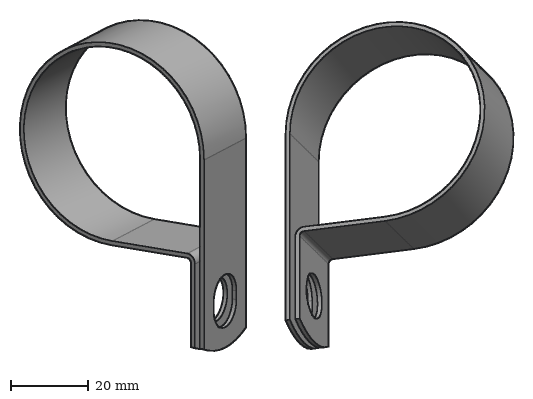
import cadquery as cq
import math

strip_width = 22.225
strip_thickness = 1.21
loop_outer_radius = 27.405
loop_inner_radius = loop_outer_radius - strip_thickness
leg_end_drop = 53.975
leg_gap = 1.5
bend_inner_radius = strip_thickness
bend_outer_radius = bend_inner_radius + strip_thickness
end_arc_radius = 25.4
hole_diameter = 11.9
slot_length = 14.3
hole_to_leg_tip = 12.7

inner_leg_right = loop_inner_radius - leg_gap
inner_leg_left = inner_leg_right - strip_thickness
bend_center_x = inner_leg_left - bend_inner_radius
bend_center_z = -loop_outer_radius - bend_inner_radius


def point_on_bend(radius):
    """Midpoint of the quarter-round bend at the given radius."""
    offset = radius * math.sqrt(0.5)
    return bend_center_x + offset, bend_center_z + offset


def make_strip():
    """Strip bent into the loop and both legs, with square leg ends."""
    return (
        cq.Workplane("XZ")
        .moveTo(loop_outer_radius, -leg_end_drop)
        .lineTo(loop_outer_radius, 0)
        .threePointArc((0, loop_outer_radius), (-loop_outer_radius, 0))
        .radiusArc((0, -loop_outer_radius), -loop_outer_radius)
        .lineTo(bend_center_x, -loop_outer_radius)
        .threePointArc(point_on_bend(bend_inner_radius), (inner_leg_left, bend_center_z))
        .lineTo(inner_leg_left, -leg_end_drop)
        .lineTo(inner_leg_right, -leg_end_drop)
        .lineTo(inner_leg_right, bend_center_z)
        .threePointArc(point_on_bend(bend_outer_radius), (bend_center_x, -loop_inner_radius))
        .lineTo(0, -loop_inner_radius)
        .radiusArc((-loop_inner_radius, 0), loop_inner_radius)
        .threePointArc((0, loop_inner_radius), (loop_inner_radius, 0))
        .lineTo(loop_inner_radius, -leg_end_drop)
        .close()
        .extrude(strip_width / 2, both=True)
    )


def make_side_envelope():
    """Block spanning the part in X whose bottom is the shallow arc of the leg ends."""
    half_width = strip_width / 2
    arc_rise = end_arc_radius - math.sqrt(end_arc_radius**2 - half_width**2)
    corner_z = arc_rise - leg_end_drop
    return (
        cq.Workplane("YZ")
        .moveTo(-half_width, loop_outer_radius)
        .lineTo(-half_width, corner_z)
        .threePointArc((0, -leg_end_drop), (half_width, corner_z))
        .lineTo(half_width, loop_outer_radius)
        .close()
        .extrude(loop_outer_radius, both=True)
    )


def hole_workplane(leg_left):
    """Workplane on the left face of a leg, centered on its hole."""
    return cq.Workplane("YZ", origin=(leg_left, 0, hole_to_leg_tip - leg_end_drop))


def make_inner_leg_hole():
    """Cylinder along X passing through the inner leg."""
    return hole_workplane(inner_leg_left).circle(hole_diameter / 2).extrude(strip_thickness)


def make_outer_leg_slot():
    """Round-ended slot, longest along Z, passing through the outer leg."""
    return hole_workplane(loop_inner_radius).slot2D(slot_length, hole_diameter, 90).extrude(strip_thickness)


strip = make_strip().intersect(make_side_envelope())
result = strip.cut(make_inner_leg_hole()).cut(make_outer_leg_slot())